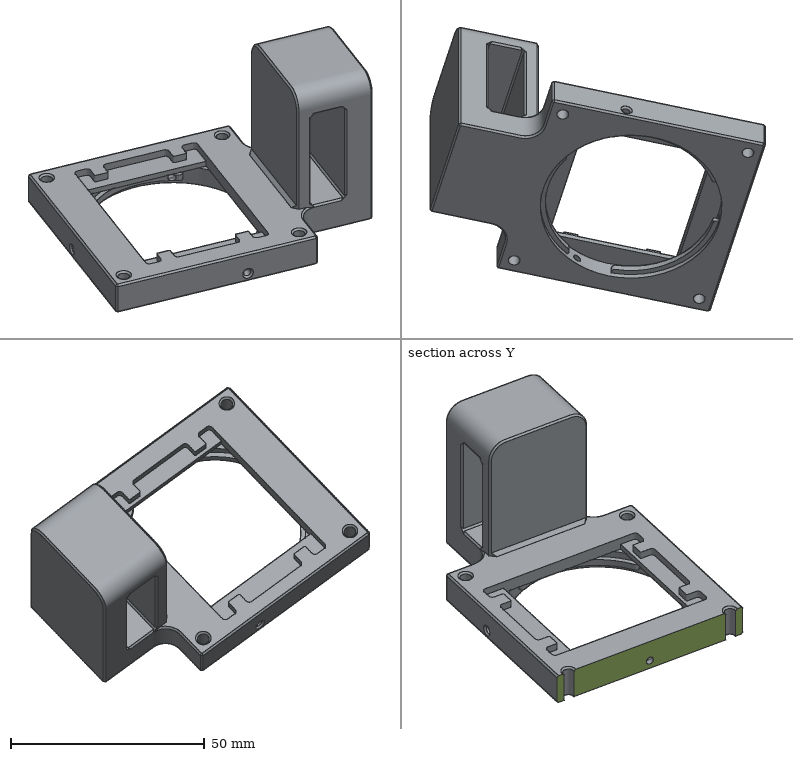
import cadquery as cq
import math

PLATE_SIDE = 57.15
PLATE_THICKNESS = 8.7
HALF_PLATE = PLATE_SIDE / 2
EDGE_BREAK = 0.5

TOTAL_LENGTH = 78.57
TOTAL_HEIGHT = 44.0
TOWER_WIDTH = 30.0
TOWER_TOP_RADIUS = 5.0
TOWER_ROOT_RADIUS = 5.0
TOWER_FRONT = HALF_PLATE
TOWER_BACK = TOTAL_LENGTH - HALF_PLATE
FOOT_SIZE = 1.0

SLOT_FRONT_WALL = 3.9
SLOT_LENGTH = 9.65
SLOT_BOTTOM = PLATE_THICKNESS
SLOT_TOP = 37.0
SLOT_CORNER_BEVEL = 0.5

WINDOW_X = 36.0
WINDOW_Y = 34.6
WINDOW_DEPTH = 3.5
POCKET_X = 47.3
POCKET_SHIFT = -0.85
POCKET_DEPTH = 2.0
POCKET_RADIUS = 1.0
KEY_REACH = 3.8
KEY_WIDTH = 3.8
KEY_TIP_RADIUS = 0.3
KEY_SPACING = 22.2

BORE_DIAMETER = 47.0
LUG_INNER_DIAMETER = 44.4
LUG_BOTTOM = 1.5
LUG_TOP = 3.3
LUG_COUNT = 3
LUG_START_ANGLE = 30.0
LUG_SWEEP = 88.0
LUG_END_RADIUS = 1.0

SCREW_HOLE_DIAMETER = 3.0
SCREW_PITCH = 49.6
SIDE_HOLE_DIAMETER = 2.0
SIDE_HOLE_HEIGHT = 2.5
CROSS_HOLE_Y = 8.7


def block(size_x, size_y, z_bottom, z_top, center=(0, 0)):
    """Box centred at a plan position between two heights."""
    return (
        cq.Workplane("XY", origin=(center[0], center[1], z_bottom))
        .rect(size_x, size_y)
        .extrude(z_top - z_bottom)
    )


def make_base():
    """Plate with the tower's footprint filleted onto its back edge."""
    plate = block(PLATE_SIDE, PLATE_SIDE, 0, PLATE_THICKNESS).edges("|Z").chamfer(EDGE_BREAK)
    tongue = block(TOWER_WIDTH, TOWER_BACK, 0, PLATE_THICKNESS, (0, TOWER_BACK / 2))
    tongue = tongue.edges("|Z and >Y").chamfer(EDGE_BREAK)
    reach = TOWER_ROOT_RADIUS / 2
    root_edges = cq.selectors.BoxSelector(
        (-TOWER_WIDTH / 2 - reach, TOWER_FRONT - reach, 0),
        (TOWER_WIDTH / 2 + reach, TOWER_FRONT + reach, PLATE_THICKNESS),
    )
    base = plate.union(tongue).edges("|Z").edges(root_edges).fillet(TOWER_ROOT_RADIUS)
    return base.faces("<Z or >Z").chamfer(EDGE_BREAK)


def make_tower():
    """Round-topped block that starts inside the base, clear of the base's lower edges."""
    z_start = PLATE_THICKNESS / 2
    tower_length = TOWER_BACK - TOWER_FRONT
    tower = block(TOWER_WIDTH, tower_length, z_start, TOTAL_HEIGHT, (0, TOWER_FRONT + tower_length / 2))
    tower = tower.edges("|Y and >Z").fillet(TOWER_TOP_RADIUS)
    return tower.faces("<Y or >Y").edges("not <Z").chamfer(EDGE_BREAK)


def make_foot():
    """Bevel at the tower front; its ends continue the tower's 45 degree edge chamfers."""
    wedge = (
        cq.Workplane("YZ", origin=(-TOWER_WIDTH / 2, 0, 0))
        .moveTo(TOWER_FRONT, PLATE_THICKNESS)
        .lineTo(TOWER_FRONT - FOOT_SIZE, PLATE_THICKNESS)
        .lineTo(TOWER_FRONT, PLATE_THICKNESS + FOOT_SIZE)
        .close()
        .extrude(TOWER_WIDTH)
    )
    half_root = TOWER_WIDTH / 2 - EDGE_BREAK
    half_tip = half_root - FOOT_SIZE
    plan = (
        cq.Workplane("XY", origin=(0, 0, PLATE_THICKNESS))
        .moveTo(-half_root, TOWER_FRONT)
        .lineTo(-half_tip, TOWER_FRONT - FOOT_SIZE)
        .lineTo(half_tip, TOWER_FRONT - FOOT_SIZE)
        .lineTo(half_root, TOWER_FRONT)
        .close()
        .extrude(FOOT_SIZE)
    )
    return wedge.intersect(plan)


def tower_slot():
    """Opening along X; its corner bevels carry straight on through the flared mouths."""
    slot_y = TOWER_FRONT + SLOT_FRONT_WALL + SLOT_LENGTH / 2
    slot_z = (SLOT_BOTTOM + SLOT_TOP) / 2
    slot_height = SLOT_TOP - SLOT_BOTTOM
    mouth_length = SLOT_LENGTH + 2 * EDGE_BREAK
    mouth_height = slot_height + 2 * EDGE_BREAK
    slot = cq.Workplane("XY").box(TOWER_WIDTH, SLOT_LENGTH, slot_height)
    for side in (-1, 1):
        mouth = (
            cq.Workplane("YZ", origin=(side * TOWER_WIDTH / 2, 0, 0))
            .rect(mouth_length, mouth_height)
            .extrude(-side * EDGE_BREAK, taper=45)
        )
        slot = slot.union(mouth)
    corner_bevel = SLOT_CORNER_BEVEL + 2 * EDGE_BREAK
    envelope = cq.Workplane("XY").box(TOWER_WIDTH, mouth_length, mouth_height)
    envelope = envelope.edges("|X").chamfer(corner_bevel)
    return slot.intersect(envelope).translate((0, slot_y, slot_z))


def window():
    """Rectangular opening over a wider, shallower pocket with four standing keys."""
    top = PLATE_THICKNESS
    floor = top - POCKET_DEPTH
    opening = block(WINDOW_X, WINDOW_Y, top - WINDOW_DEPTH, top)
    pocket = block(POCKET_X, WINDOW_Y, floor, top, (POCKET_SHIFT, 0))
    for side, tip in ((-1, ">X"), (1, "<X")):
        key_x = POCKET_SHIFT + side * (POCKET_X - KEY_REACH) / 2
        for end in (-1, 1):
            key = block(KEY_REACH, KEY_WIDTH, floor, top, (key_x, end * KEY_SPACING / 2))
            key = key.edges("|Z").edges(tip).fillet(KEY_TIP_RADIUS)
            pocket = pocket.cut(key)
    pocket = pocket.edges("|Z and (<X or >X)").fillet(POCKET_RADIUS)
    return opening.union(pocket)


def polar(radius, angle):
    """Plan point at a radius and an angle in degrees from +X."""
    return (radius * math.cos(math.radians(angle)), radius * math.sin(math.radians(angle)))


def lug():
    """Ring segment standing inside the bore, with rounded inner ends."""
    outer = BORE_DIAMETER / 2
    inner = LUG_INNER_DIAMETER / 2
    end_angle = LUG_START_ANGLE + LUG_SWEEP
    middle = (LUG_START_ANGLE + end_angle) / 2
    segment = (
        cq.Workplane("XY", origin=(0, 0, LUG_BOTTOM))
        .moveTo(*polar(inner, LUG_START_ANGLE))
        .threePointArc(polar(inner, middle), polar(inner, end_angle))
        .lineTo(*polar(outer, end_angle))
        .threePointArc(polar(outer, middle), polar(outer, LUG_START_ANGLE))
        .close()
        .extrude(LUG_TOP - LUG_BOTTOM)
    )
    for angle in (LUG_START_ANGLE, end_angle):
        x, y = polar(inner, angle)
        tip = cq.selectors.NearestToPointSelector((x, y, (LUG_TOP + LUG_BOTTOM) / 2))
        segment = segment.edges("|Z").edges(tip).fillet(LUG_END_RADIUS)
    return segment


def bore():
    """Round bore from the underside up to the window, less the bayonet lugs."""
    radius = BORE_DIAMETER / 2
    hole = cq.Workplane("XY").circle(radius).extrude(PLATE_THICKNESS - WINDOW_DEPTH)
    for index in range(LUG_COUNT):
        hole = hole.cut(lug().rotate((0, 0, 0), (0, 0, 1), index * 360 / LUG_COUNT))
    return hole


def drill(origin, direction, diameter, depth):
    """Round hole from a face, with a chamfered mouth."""
    start = cq.Vector(*origin)
    axis = cq.Vector(*direction)
    radius = diameter / 2
    shaft = cq.Solid.makeCylinder(radius, depth, start, axis)
    mouth = cq.Solid.makeCone(radius + EDGE_BREAK, radius, EDGE_BREAK, start, axis)
    return cq.Workplane(shaft).union(cq.Workplane(mouth))


def screw_holes():
    holes = cq.Workplane("XY")
    for x_side in (-1, 1):
        for y_side in (-1, 1):
            spot = (x_side * SCREW_PITCH / 2, y_side * SCREW_PITCH / 2, PLATE_THICKNESS)
            holes = holes.add(drill(spot, (0, 0, -1), SCREW_HOLE_DIAMETER, PLATE_THICKNESS))
    return holes.combine()


def side_holes():
    """One hole in the front face and one in each side face, all opening into the bore."""
    front_depth = HALF_PLATE - LUG_INNER_DIAMETER / 2 + EDGE_BREAK
    front = (0, -HALF_PLATE, SIDE_HOLE_HEIGHT)
    holes = cq.Workplane("XY").add(drill(front, (0, 1, 0), SIDE_HOLE_DIAMETER, front_depth))
    for side in (-1, 1):
        spot = (side * HALF_PLATE, CROSS_HOLE_Y, SIDE_HOLE_HEIGHT)
        holes = holes.add(drill(spot, (-side, 0, 0), SIDE_HOLE_DIAMETER, HALF_PLATE))
    return holes.combine()


result = make_base().union(make_tower()).union(make_foot())
result = result.cut(tower_slot()).cut(window()).cut(bore())
result = result.cut(screw_holes()).cut(side_holes())